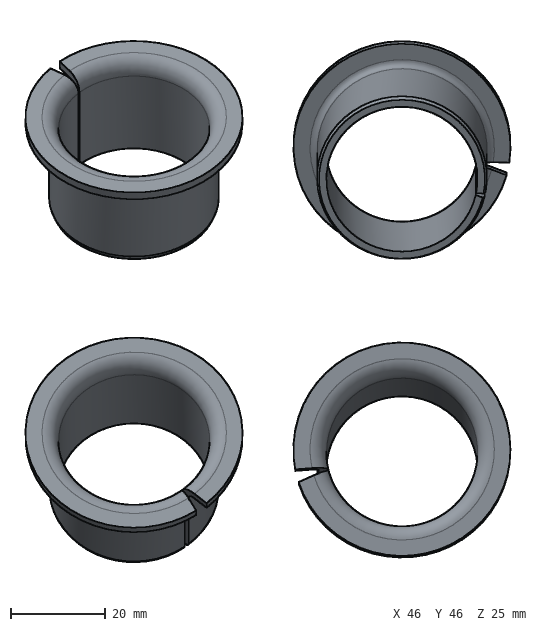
import cadquery as cq
import math

flange_radius = 23.0
total_height = 25.0
bore_diameter = 32.0
body_diameter = 36.0
bore_radius = bore_diameter / 2
body_radius = body_diameter / 2
wall = body_radius - bore_radius
outer_fillet = 1.5
inner_fillet = outer_fillet + wall
chamfer_height = 1.2
chamfer_angle = 20.0

bore_slit_width = 0.35
slit_half_angle = 10.0

flange_bottom = total_height - wall
fillet_base = total_height - inner_fillet
fillet_edge = bore_radius + inner_fillet
chamfer_inset = chamfer_height * math.tan(math.radians(chamfer_angle))
arc_share = math.sqrt(0.5)


def make_sleeve():
    """Revolve the wall section: body, flared shoulder and flange."""
    section_plane = cq.Plane(origin=(0, 0, 0), xDir=(-1, 0, 0), normal=(0, 1, 0))
    outer_mid = (fillet_edge - outer_fillet * arc_share, fillet_base + outer_fillet * arc_share)
    inner_mid = (fillet_edge - inner_fillet * arc_share, fillet_base + inner_fillet * arc_share)
    return (
        cq.Workplane(section_plane)
        .moveTo(bore_radius, 0)
        .lineTo(body_radius - chamfer_inset, 0)
        .lineTo(body_radius, chamfer_height)
        .lineTo(body_radius, fillet_base)
        .threePointArc(outer_mid, (fillet_edge, flange_bottom))
        .lineTo(flange_radius, flange_bottom)
        .lineTo(flange_radius, total_height)
        .lineTo(fillet_edge, total_height)
        .threePointArc(inner_mid, (bore_radius, fillet_base))
        .close()
        .revolve(360, (0, 0, 0), (0, 1, 0))
    )


def make_slit():
    """Wedge on the -X side that opens toward the flange rim."""
    slope = math.tan(math.radians(slit_half_angle))
    apex_x = -bore_radius + bore_slit_width / 2 / slope
    end_x = -flange_radius - wall
    end_half_width = (apex_x - end_x) * slope
    return (
        cq.Workplane("XY")
        .polyline([(apex_x, 0), (end_x, end_half_width), (end_x, -end_half_width)])
        .close()
        .extrude(total_height)
    )


result = make_sleeve().cut(make_slit())